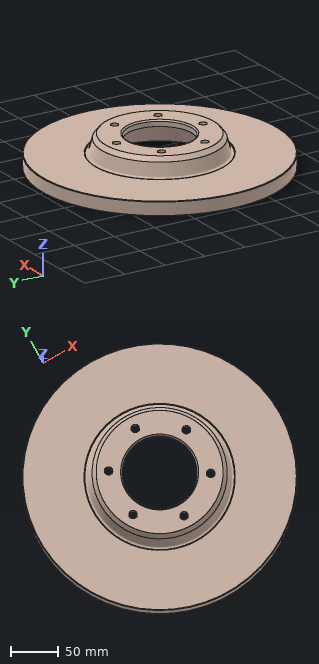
import cadquery as cq
import math

disc_radius = 145.2
disc_thickness = 16.3
disc_chamfer = 0.73

total_height = 38.0
hat_top_radius = 67.0
shoulder_radius = 71.5
shoulder_drop = 5.5
wall_foot_radius = 75.5
wall_foot_rise = 1.2
groove_floor_radius = 78.0
groove_outer_radius = 79.0
groove_depth = 1.0
groove_chamfer = 1.0

cavity_mouth_radius = 75.8
cavity_roof_radius = 67.5
hat_plate_thickness = 7.5

bore_radius = 39.5
bore_chamfer = 1.7
bolt_count = 6
bolt_circle_radius = 54.0
bolt_hole_diameter = 8.7

wall_foot_z = disc_thickness + wall_foot_rise
groove_floor_z = disc_thickness - groove_depth
shoulder_z = total_height - shoulder_drop
cavity_roof_z = total_height - hat_plate_thickness


def foot_fillet_midpoint():
    """Middle of the concave arc that meets the groove floor tangentially."""
    run = groove_floor_radius - wall_foot_radius
    rise = wall_foot_z - groove_floor_z
    fillet_radius = (run**2 + rise**2) / (2 * rise)
    half_angle = math.atan2(rise, run)
    return (
        groove_floor_radius - fillet_radius * math.sin(half_angle),
        groove_floor_z + fillet_radius * (1 - math.cos(half_angle)),
    )


def make_body():
    """Revolve the half section (radius, height) about the Z axis."""
    section = (
        cq.Workplane("XZ")
        .moveTo(cavity_mouth_radius, 0)
        .lineTo(disc_radius, 0)
        .lineTo(disc_radius, disc_thickness - disc_chamfer)
        .lineTo(disc_radius - disc_chamfer, disc_thickness)
        .lineTo(groove_outer_radius + groove_chamfer, disc_thickness)
        .lineTo(groove_outer_radius, groove_floor_z)
        .lineTo(groove_floor_radius, groove_floor_z)
        .threePointArc(foot_fillet_midpoint(), (wall_foot_radius, wall_foot_z))
        .lineTo(shoulder_radius, shoulder_z)
        .lineTo(hat_top_radius, total_height)
        .lineTo(bore_radius + bore_chamfer, total_height)
        .lineTo(bore_radius, total_height - bore_chamfer)
        .lineTo(bore_radius, cavity_roof_z)
        .lineTo(cavity_roof_radius, cavity_roof_z)
        .close()
    )
    return section.revolve(360, (0, 0, 0), (0, 1, 0))


def make_bolt_holes():
    """Cylinders on the bolt circle, with one on the +Y axis."""
    return (
        cq.Workplane("XY")
        .polarArray(bolt_circle_radius, 90, 360, bolt_count)
        .circle(bolt_hole_diameter / 2)
        .extrude(total_height)
    )


result = make_body().cut(make_bolt_holes())